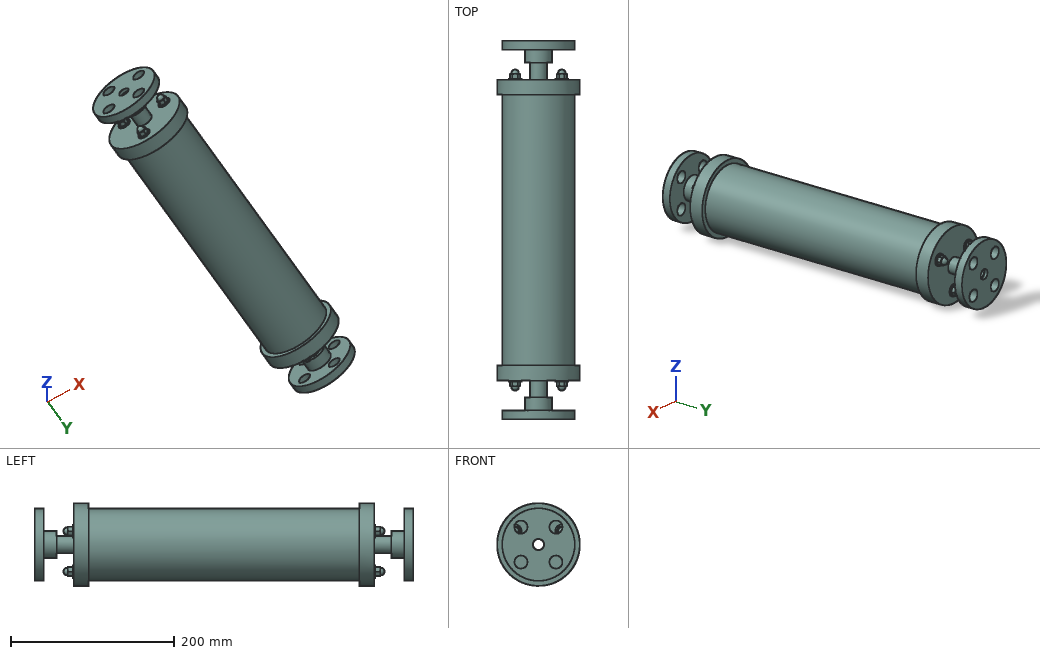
import cadquery as cq
import math

overall_length = 463.55
housing_length = 368.3
cap_thickness = 18.5

tube_diameter = 88.9
cap_diameter = 101.6
neck_diameter = 21.34
neck_bore_diameter = 15.88
flange_bore_diameter = 13.36
flange_bore_depth = 5.3

flange_diameter = 88.9
flange_thickness = 11.2
hub_diameter = 33.4
hub_length = 15.7
flange_hole_diameter = 16.0
flange_bolt_circle = 60.5
flange_hole_count = 4
flange_first_hole_angle = 45.0

fastener_bolt_circle = 66.04
fastener_count = 3
fastener_first_angle = 30.0
washer_diameter = 15.88
washer_thickness = 1.27
nut_across_flats = 11.11
nut_sides = 6
nut_hex_height = 5.8
nut_chamfer_angle = 30.0
dome_diameter = 9.5
dome_collar_height = 0.6

half_length = overall_length / 2
half_housing = housing_length / 2
cap_inner_face = half_housing - cap_thickness
flange_inner_face = half_length - flange_thickness
hub_inner_face = flange_inner_face - hub_length


def end_plane(y):
    """Plane facing +Y at the given station, with local X along X and local Y along -Z."""
    return cq.Workplane(cq.Plane(origin=(0, y, 0), xDir=(1, 0, 0), normal=(0, 1, 0)))


def disc(y_start, y_end, diameter):
    """Solid cylinder on the Y axis between two stations."""
    return end_plane(y_start).circle(diameter / 2).extrude(y_end - y_start)


def flange():
    """Drilled flange disc with its hub, at the +Y end."""
    plate = disc(flange_inner_face, half_length, flange_diameter)
    holes = (
        end_plane(flange_inner_face)
        .polarArray(flange_bolt_circle / 2, flange_first_hole_angle, 360, flange_hole_count)
        .circle(flange_hole_diameter / 2)
        .extrude(flange_thickness)
    )
    drilled_plate = plate.cut(holes)
    hub = disc(hub_inner_face, flange_inner_face, hub_diameter)
    return drilled_plate.union(hub)


def fastener():
    """Washer and domed nut standing on the cap's outer face, centred on the Y axis."""
    washer_top = half_housing + washer_thickness
    hex_top = washer_top + nut_hex_height
    collar_top = hex_top + dome_collar_height
    corner_radius = nut_across_flats / 2 / math.cos(math.pi / nut_sides)
    flat_radius = nut_across_flats / 2
    chamfer_drop = (corner_radius - flat_radius) * math.tan(math.radians(nut_chamfer_angle))
    dome_radius = dome_diameter / 2

    washer = disc(half_housing, washer_top, washer_diameter)
    hexagon = end_plane(washer_top).polygon(nut_sides, 2 * corner_radius).extrude(nut_hex_height)
    corner_trim = (
        cq.Workplane("XY")
        .moveTo(0, washer_top)
        .lineTo(corner_radius, washer_top)
        .lineTo(corner_radius, hex_top - chamfer_drop)
        .lineTo(flat_radius, hex_top)
        .lineTo(0, hex_top)
        .close()
        .revolve(360, (0, 0, 0), (0, 1, 0))
    )
    dome = (
        cq.Workplane("XY")
        .moveTo(0, hex_top)
        .lineTo(dome_radius, hex_top)
        .lineTo(dome_radius, collar_top)
        .radiusArc((0, collar_top + dome_radius), -dome_radius)
        .close()
        .revolve(360, (0, 0, 0), (0, 1, 0))
    )
    return washer.union(hexagon.intersect(corner_trim)).union(dome)


def end_assembly():
    """Cap, neck, flange and fasteners of the +Y end."""
    end = disc(cap_inner_face, half_housing, cap_diameter)
    end = end.union(disc(half_housing, hub_inner_face, neck_diameter)).union(flange())
    single = fastener()
    for i in range(fastener_count):
        angle = math.radians(fastener_first_angle + i * 360 / fastener_count)
        x = fastener_bolt_circle / 2 * math.cos(angle)
        z = fastener_bolt_circle / 2 * math.sin(angle)
        end = end.union(single.translate((x, 0, z)))
    return end


rear_end = end_assembly()
tube = disc(-cap_inner_face, cap_inner_face, tube_diameter)
body = tube.union(rear_end).union(rear_end.mirror("XZ"))
neck_bore_end = half_length - flange_bore_depth
flange_bore = disc(-half_length, half_length, flange_bore_diameter)
neck_bore = disc(-neck_bore_end, neck_bore_end, neck_bore_diameter)
result = body.cut(flange_bore).cut(neck_bore)